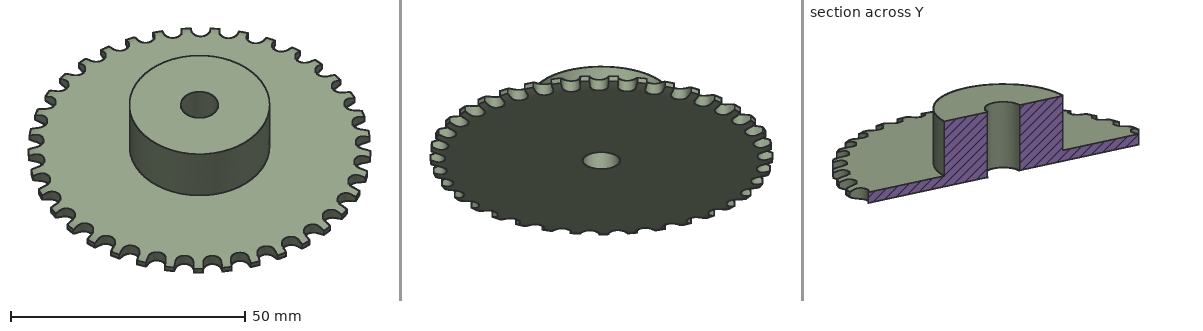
import cadquery as cq
import math

tooth_count = 37
chain_pitch = 6.0
tip_radius = 36.55
seat_radius = 2.0
plate_thickness = 2.55
total_height = 15.0
hub_diameter = 30.0
bore_diameter = 8.0
tooth_side_radius = chain_pitch
tooth_side_length = 2.8

tooth_angle = 360 / tooth_count
pitch_radius = chain_pitch / (2 * math.sin(math.pi / tooth_count))
cut_margin = 0.7


def rounded_plate():
    """Disc whose faces curve toward each other near the rim, made as a revolved half section."""
    flat_radius = tip_radius - tooth_side_length
    side_drop = tooth_side_radius - math.sqrt(tooth_side_radius**2 - tooth_side_length**2)
    half_section = (
        cq.Workplane("XZ")
        .lineTo(flat_radius, 0)
        .tangentArcPoint((tip_radius, side_drop), relative=False)
        .lineTo(tip_radius, plate_thickness - side_drop)
        .radiusArc((flat_radius, plate_thickness), -tooth_side_radius)
        .lineTo(0, plate_thickness)
        .close()
    )
    return half_section.revolve(360, (0, 0, 0), (0, 1, 0))


def tooth_gap(angle):
    """Gap with a round seat on the pitch circle; its flanks open just enough to make teeth parallel-sided."""
    flank_tilt = math.radians(tooth_angle / 2)
    seat_end_x = pitch_radius - seat_radius * math.sin(flank_tilt)
    seat_end_y = seat_radius * math.cos(flank_tilt)
    mouth_x = tip_radius + cut_margin
    mouth_y = seat_end_y + (mouth_x - seat_end_x) * math.tan(flank_tilt)
    return (
        cq.Workplane("XY")
        .moveTo(mouth_x, -mouth_y)
        .lineTo(seat_end_x, -seat_end_y)
        .threePointArc((pitch_radius - seat_radius, 0), (seat_end_x, seat_end_y))
        .lineTo(mouth_x, mouth_y)
        .close()
        .extrude(plate_thickness)
        .rotate((0, 0, 0), (0, 0, 1), angle)
    )


first_gap_angle = 90 + tooth_angle / 2
sprocket = rounded_plate()
for index in range(tooth_count):
    sprocket = sprocket.cut(tooth_gap(first_gap_angle + index * tooth_angle))

hub = cq.Workplane("XY").circle(hub_diameter / 2).extrude(total_height)
bore = cq.Workplane("XY").circle(bore_diameter / 2).extrude(total_height)
result = sprocket.union(hub).cut(bore)